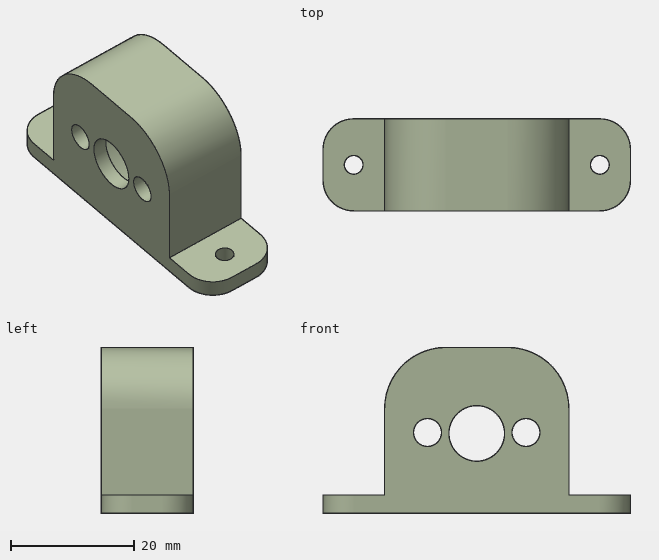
import cadquery as cq

base_length = 50.0
depth = 15.0
base_thickness = 3.0
base_corner_radius = 5.0

block_width = 30.0
total_height = 27.0
block_corner_radius = 10.0

bore_height = 13.0
bore_diameter = 9.0
side_hole_diameter = 4.5
side_hole_offset = 8.0
side_hole_height = 13.15

pocket_diameter = 25.75
front_wall = 2.5

mount_hole_diameter = 3.0
mount_hole_offset = base_length / 2 - base_corner_radius


def make_base():
    """Flat plate with rounded corners, resting on Z = 0."""
    plate = cq.Workplane("XY").box(base_length, depth, base_thickness, centered=(True, True, False))
    return plate.edges("|Z").fillet(base_corner_radius)


def make_block():
    """Upright block with its two top edges rounded."""
    block = cq.Workplane("XY").box(block_width, depth, total_height, centered=(True, True, False))
    return block.edges("|Y and >Z").fillet(block_corner_radius)


def front_hole(x, z, diameter):
    """Cutter running along Y through the whole block."""
    plane = cq.Workplane("XZ").center(x, z)
    return plane.circle(diameter / 2).extrude(depth / 2, both=True)


def back_pocket():
    """Cutter concentric with the bore, from the front wall out through the back face."""
    plane = cq.Workplane("XZ", origin=(0, depth / 2, bore_height))
    return plane.circle(pocket_diameter / 2).extrude(depth - front_wall)


def mount_hole(x):
    """Vertical cutter through the flange."""
    return cq.Workplane("XY").center(x, 0).circle(mount_hole_diameter / 2).extrude(base_thickness)


result = make_base().union(make_block())
result = result.cut(front_hole(0, bore_height, bore_diameter))
result = result.cut(back_pocket())
for side in (-1, 1):
    result = result.cut(front_hole(side * side_hole_offset, side_hole_height, side_hole_diameter))
    result = result.cut(mount_hole(side * mount_hole_offset))